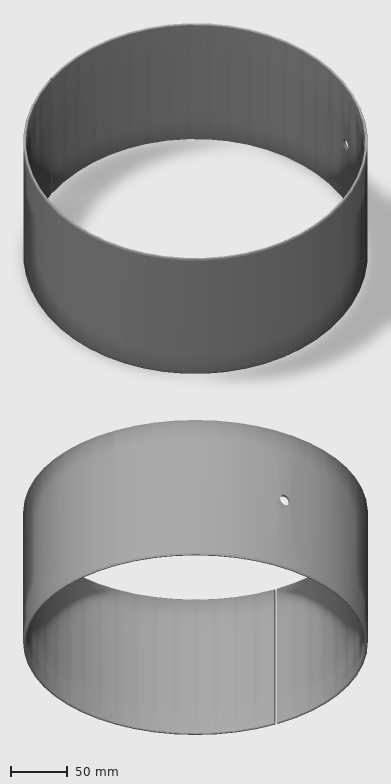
import cadquery as cq
import math

outer_diameter = 305.0
height = 140.0
wall = 2.5
outer_chamfer_height = 1.5
outer_chamfer_depth = 0.5
inner_chamfer = 0.5
slit_width = 2.5
hole_diameter = 10.0
hole_angle = 59.0

outer_radius = outer_diameter / 2
inner_radius = outer_radius - wall


def make_band():
    """Thin ring standing on Z = 0: steep chamfers on its outer rims, 45 degree ones on the inner."""
    rim_outer_radius = outer_radius - outer_chamfer_depth
    rim_inner_radius = inner_radius + inner_chamfer
    profile = [
        (inner_radius, inner_chamfer),
        (rim_inner_radius, 0),
        (rim_outer_radius, 0),
        (outer_radius, outer_chamfer_height),
        (outer_radius, height - outer_chamfer_height),
        (rim_outer_radius, height),
        (rim_inner_radius, height),
        (inner_radius, height - inner_chamfer),
    ]
    return cq.Workplane("XZ").polyline(profile).close().revolve(360, (0, 0), (0, 1))


def make_slit():
    """Full-height cutter that splits the band on its -X side, with one face on Y = 0."""
    radial_length = 4 * wall
    return (
        cq.Workplane("XY")
        .center(-outer_radius, slit_width / 2)
        .rect(radial_length, slit_width)
        .extrude(height)
    )


def make_hole():
    """Radial cutter through the wall at mid-height, on one side only."""
    angle = math.radians(hole_angle)
    outward = cq.Vector(math.cos(angle), math.sin(angle), 0)
    start = outward * (inner_radius - wall) + cq.Vector(0, 0, height / 2)
    length = 3 * wall
    return cq.Solid.makeCylinder(hole_diameter / 2, length, start, outward)


result = make_band().cut(make_slit()).cut(make_hole())